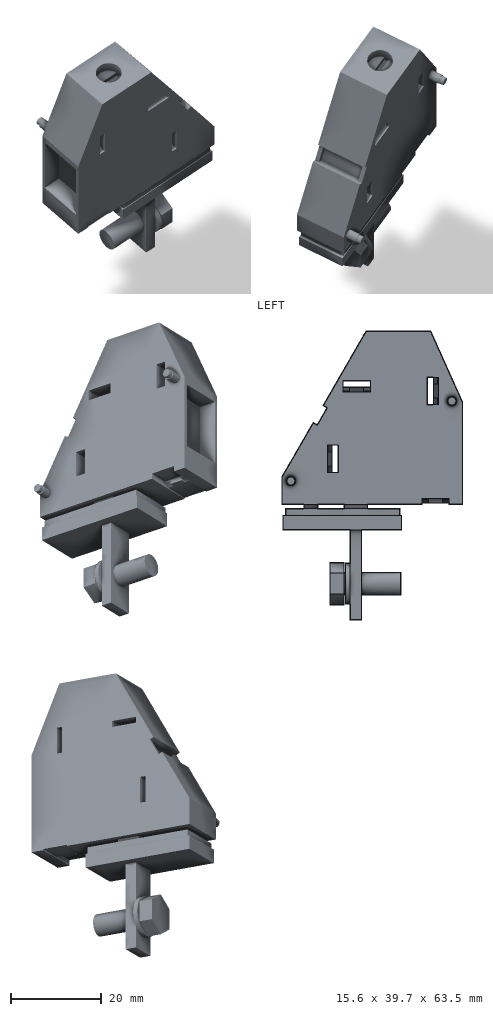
import cadquery as cq
import math


half_width = 6.0
housing_height = 38.1
top_half_length = 7.1
front_y = -14.1
back_y = 25.6
front_shoulder_z = 22.5
back_slope_angle = 60.0
back_shoulder_z = housing_height - (back_y - top_half_length) * math.tan(math.radians(back_slope_angle))

pocket_half_width = 5.2
pocket_bottom_z = 5.75
pocket_top_z = 20.9
pocket_depth = 4.1

notch_start = 18.9
notch_length = 4.35
notch_edge_depth = 1.0
notch_middle_depth = 2.15
notch_middle_width = 10.1

window_length = 6.0
window_height = 2.4
hook_height = 1.05
hook_lip = 0.2
hook_reach = 1.2
hook_tab_length = 3.1
bottom_window_top_z = 1.3
snap_windows = [
    (9.18, 25.95, 0),
    (-7.57, 24.9, -90),
    (14.43, 10.0, 90),
    (-8.15, bottom_window_top_z - window_height / 2, 180),
]

pin_diameter = 2.1
pin_tip_diameter = 1.8
pin_length = 3.6
pin_tip_length = 1.1
pin_positions = [(-11.77, 22.7), (23.66, 5.15)]

screw_bore_diameter = 5.65
top_wall = 0.85
screw_head_diameter = 8.0
screw_head_height = 4.0
screw_socket_depth = 1.6
screw_slot_width = 1.15
screw_slot_depth = 1.0

terminal_gap = 0.95
step_thickness = 1.5
step_width = 10.8
step_front_y = -0.35
step_back_y = 24.8
plate_thickness = 3.15
plate_width = 11.1
plate_front_y = -0.73
plate_back_y = 25.38
block_width = 8.9
block_length = 5.2
post_diameter = 3.1
post_y = 19.26
tongue_width = 6.55
tongue_thickness = 2.55
tongue_y = 9.36
tongue_bottom_z = -25.4

bolt_z = -17.45
bolt_diameter = 5.0
bolt_end_y = -0.55
bolt_head_thickness = 3.15
bolt_head_across_flats = 8.05
washer_diameter = 9.0
washer_thickness = 1.0
washer_head_gap = 0.3


def box(x0, x1, y0, y1, z0, z1):
    return cq.Workplane("XY").box(x1 - x0, y1 - y0, z1 - z0, centered=False).translate((x0, y0, z0))


def housing_blank(x0, x1):
    outline = [
        (front_y, 0),
        (back_y, 0),
        (back_y, back_shoulder_z),
        (top_half_length, housing_height),
        (-top_half_length, housing_height),
        (front_y, front_shoulder_z),
    ]
    return cq.Workplane("YZ", origin=(x0, 0, 0)).polyline(outline).close().extrude(x1 - x0)


def front_pocket():
    return box(-pocket_half_width, pocket_half_width, front_y, front_y + pocket_depth, pocket_bottom_z, pocket_top_z)


def label_notch():
    notch_end = notch_start + notch_length
    edge = box(-half_width, half_width, notch_start, notch_end, -notch_edge_depth, notch_edge_depth)
    middle_half = notch_middle_width / 2
    middle = box(-middle_half, middle_half, notch_start, notch_end, -notch_middle_depth, 0)
    notch = edge.union(middle).rotate((0, 0, 0), (1, 0, 0), -back_slope_angle)
    return notch.translate((0, top_half_length, housing_height))


def place_at_window(shape, window):
    y, z, turn = window
    return shape.rotate((0, 0, 0), (1, 0, 0), turn).translate((0, y, z))


def snap_window():
    """Full window through the left half."""
    return cq.Workplane("XY").box(half_width, window_length, window_height).translate((-half_width / 2, 0, 0))


def snap_opening():
    """Part of the window that is left free beside the hook, through the right half."""
    window_base = -window_height / 2
    return box(0, half_width, -window_length / 2, window_length / 2,
               window_base + hook_height, window_base + window_height)


def snap_hook():
    """Ramped hook with a square tab in its middle, reaching from the seam into the left half."""
    base = -window_height / 2
    ramp_profile = [
        (0, base),
        (-hook_reach, base),
        (-hook_reach, base + hook_lip),
        (0, base + hook_height),
    ]
    ramp = cq.Workplane("XZ").polyline(ramp_profile).close().extrude(window_length / 2, both=True)
    tab = box(-hook_reach, 0, -hook_tab_length / 2, hook_tab_length / 2, base, base + hook_height)
    return ramp.union(tab)


def locating_pin(y, z):
    pin_root = cq.Workplane("YZ", origin=(-half_width, y, z))
    shank = pin_root.circle(pin_diameter / 2).extrude(-(pin_length - pin_tip_length))
    tip = pin_root.circle(pin_tip_diameter / 2).extrude(-pin_length)
    return shank.union(tip)


def screw_blank():
    head_top = cq.Workplane("XY", origin=(0, 0, housing_height - top_wall))
    return head_top.circle(screw_head_diameter / 2).extrude(-screw_head_height)


def screw_space():
    """Bore through the top wall and the room for the screw head below it."""
    bore = cq.Workplane("XY", origin=(0, 0, housing_height)).circle(screw_bore_diameter / 2).extrude(-top_wall)
    return bore.union(screw_blank())


def make_screw():
    head_top_z = housing_height - top_wall
    socket_floor_z = head_top_z - screw_socket_depth
    socket = cq.Workplane("XY", origin=(0, 0, head_top_z)).circle(screw_bore_diameter / 2)
    socket_floor = cq.Workplane("XY", origin=(0, 0, socket_floor_z))
    slot_disc = socket_floor.circle(screw_bore_diameter / 2).extrude(-screw_slot_depth)
    slot_band = socket_floor.rect(screw_slot_width, screw_bore_diameter).extrude(-screw_slot_depth)
    slot = slot_disc.intersect(slot_band)
    return screw_blank().cut(socket.extrude(-screw_socket_depth)).cut(slot)


def make_housing_half(x0, x1):
    half = housing_blank(x0, x1)
    for space in (front_pocket(), label_notch(), screw_space()):
        half = half.cut(space)
    return half


def make_left_half():
    half = make_housing_half(-half_width, 0)
    for window in snap_windows:
        half = half.cut(place_at_window(snap_window(), window))
    for y, z in pin_positions:
        half = half.union(locating_pin(y, z))
    return half


def make_right_half():
    half = make_housing_half(0, half_width)
    for window in snap_windows:
        half = half.cut(place_at_window(snap_opening(), window))
        half = half.union(place_at_window(snap_hook(), window))
    return half


def cylinder_along_y(diameter, y0, y1):
    return cq.Workplane("XZ", origin=(0, y0, bolt_z)).circle(diameter / 2).extrude(y0 - y1)


def make_terminal():
    step_top_z = -terminal_gap
    step_bottom_z = step_top_z - step_thickness
    plate_bottom_z = step_bottom_z - plate_thickness
    step = box(-step_width / 2, step_width / 2, step_front_y, step_back_y, step_bottom_z, step_top_z)
    plate = box(-plate_width / 2, plate_width / 2, plate_front_y, plate_back_y, plate_bottom_z, step_bottom_z)
    block = box(-block_width / 2, block_width / 2, tongue_y - block_length / 2, tongue_y + block_length / 2,
                step_top_z, 0)
    post = cq.Workplane("XY", origin=(0, post_y, step_top_z)).circle(post_diameter / 2).extrude(terminal_gap)
    tongue = box(-tongue_width / 2, tongue_width / 2, tongue_y - tongue_thickness / 2,
                 tongue_y + tongue_thickness / 2, tongue_bottom_z, plate_bottom_z)
    terminal = step.union(plate).union(block).union(post).union(tongue)
    bolt_hole = cylinder_along_y(bolt_diameter, tongue_y - tongue_thickness, tongue_y + tongue_thickness)
    return terminal.cut(bolt_hole)


def make_bolt():
    washer_front_y = tongue_y + tongue_thickness / 2
    washer_back_y = washer_front_y + washer_thickness
    head_front_y = washer_back_y + washer_head_gap
    shank = cylinder_along_y(bolt_diameter, bolt_end_y, head_front_y)
    washer = cylinder_along_y(washer_diameter, washer_front_y, washer_back_y)
    head_plane = cq.Workplane("XZ", origin=(0, head_front_y, bolt_z))
    head = head_plane.polygon(6, bolt_head_across_flats, circumscribed=True).extrude(-bolt_head_thickness)
    return shank.union(washer).union(head)


left_half = make_left_half()
right_half = make_right_half()
screw = make_screw()
terminal = make_terminal()
bolt = make_bolt()

result = cq.Compound.makeCompound([
    left_half.val(),
    right_half.val(),
    screw.val(),
    terminal.val(),
    bolt.val(),
])